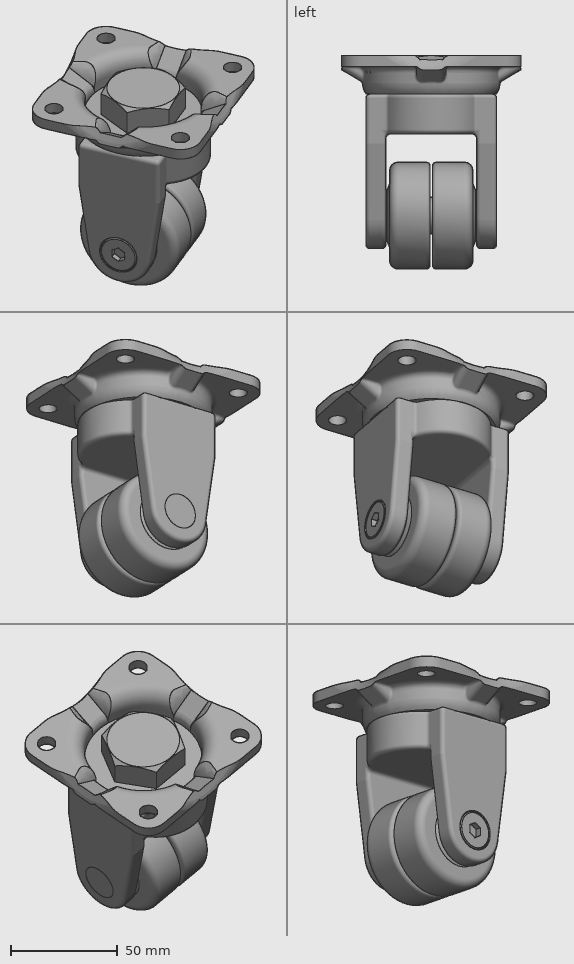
import cadquery as cq
import math


total_height = 99.9
plate_side = 84.0
plate_thickness = 5.3
plate_corner_radius = 10.0
mounting_hole_diameter = 8.5
mounting_hole_spacing = 63.9
flange_bottom = total_height - plate_thickness

cup_radius = 32.2
cup_bottom = 81.8
cup_cylinder_bottom = 86.8
cup_bottom_round = 8.0
cup_flange_fillet = 3.0
well_radius = 27.5
well_floor = cup_cylinder_bottom
well_rim_round = 7.9
well_seam_angle = 45.0

rib_count = 4
rib_width = 13.8
rib_edge_round = 2.8
rib_root_fillet = 1.4
rib_tip_z = 93.2
rib_slope = 0.6
rib_inner_radius = 28.0
notch_floor_width = 10.7
notch_reference_radius = 39.1
notch_reference_z = 97.6
notch_inner_radius = 26.0
notch_inner_width = 25.6
notch_outer_radius = 40.9
notch_outer_width = 14.8
notch_flank_bulge = 0.1
notch_lip_round = 4.5

scallop_radius = 49.9
scallop_inset = 38.3
scallop_edge_round = 6.0

hex_across_flats = 34.5
hex_top_circle_radius = 17.0
hex_chamfer_angle = 30.0

fork_top = cup_bottom
crown_bottom = 63.0
crown_half_length = 32.1
crown_end_radius = 24.0
arm_outer_y = 30.6
arm_inner_y = 21.2
arm_half_width = 20.6
arm_taper_z = 58.4
arm_end_radius = 15.5
fork_edge_round = 2.0
fork_inner_fillet = 2.0

wheel_radius = 25.0
wheel_inner_y = 0.5
wheel_outer_y = 19.5
wheel_outer_round = 4.0
wheel_inner_round = 1.9
hub_base_radius = 15.0
hub_end_radius = 12.2
hub_cone_end_y = 20.6
axle_z = wheel_radius

axle_radius = 8.6
axle_head_radius = 9.1
axle_head_length = 4.0
axle_chamfer = 0.6
axle_hole_chamfer = 0.4
socket_across_flats = 6.5
socket_depth = 3.0

selection_margin = 0.1
touch_tolerance = 0.001


def revolve_z(outline):
    """Revolve a closed (radius, z) outline about the vertical centre line."""
    return outline.revolve(360, (0, 0, 0), (0, 1, 0))


def around_sides(body):
    """Return copies of a body made at the -Y side, one for each side of the plate."""
    return [body.rotate((0, 0, 0), (0, 0, 1), 360 / rib_count * i) for i in range(rib_count)]


def make_rounded_square(bottom):
    """Square block with the outline of the plate, from a given height up to the top."""
    return (
        cq.Workplane("XY")
        .workplane(offset=bottom)
        .rect(plate_side, plate_side)
        .extrude(total_height - bottom)
        .edges("|Z")
        .fillet(plate_corner_radius)
    )


def make_cup():
    """Solid round boss through the flange with a rounded lower edge."""
    drop = cup_cylinder_bottom - cup_bottom
    arc_center = cup_radius - cup_bottom_round
    bottom_radius = arc_center + math.sqrt(cup_bottom_round**2 - drop**2)
    half_angle = math.asin(drop / cup_bottom_round) / 2
    arc_middle = (
        arc_center + cup_bottom_round * math.cos(half_angle),
        cup_cylinder_bottom - cup_bottom_round * math.sin(half_angle),
    )
    return revolve_z(
        cq.Workplane("XZ")
        .moveTo(0, cup_bottom)
        .lineTo(bottom_radius, cup_bottom)
        .threePointArc(arc_middle, (cup_radius, cup_cylinder_bottom))
        .lineTo(cup_radius, total_height)
        .lineTo(0, total_height)
        .close()
    )


def make_rib():
    """Wedge under the flange at the -Y side, rounded along its two lower edges."""
    tip = plate_side / 2
    inner_z = rib_tip_z - rib_slope * (tip - rib_inner_radius)
    rib = (
        cq.Workplane("YZ")
        .polyline([
            (-tip, flange_bottom + plate_thickness / 2),
            (-tip, rib_tip_z),
            (-rib_inner_radius, inner_z),
            (-rib_inner_radius, flange_bottom + plate_thickness / 2),
        ])
        .close()
        .extrude(rib_width / 2, both=True)
    )
    return rib.faces("<Z").edges("not |X").fillet(rib_edge_round)


def touches(edge, body):
    """Whether an edge runs along a body, judged at three places on the edge."""
    spots = [cq.Vertex.makeVertex(*edge.positionAt(t).toTuple()) for t in (0.25, 0.5, 0.75)]
    return all(body.val().distance(spot) < touch_tolerance for spot in spots)


def make_plate_blank():
    """Flange and cup with the ribs blended into them, before anything is cut away."""
    blank = make_rounded_square(flange_bottom).union(make_cup())
    reach = cup_radius + selection_margin
    cup_root = cq.selectors.BoxSelector(
        (-reach, -reach, flange_bottom - selection_margin),
        (reach, reach, flange_bottom + selection_margin),
        boundingbox=True,
    )
    blank = blank.edges(cup_root).fillet(cup_flange_fillet)
    ribs = around_sides(make_rib())
    ribbed = blank
    for rib in ribs:
        ribbed = ribbed.union(rib)
    seams = [
        edge
        for edge in ribbed.edges().vals()
        if touches(edge, blank) and any(touches(edge, rib) for rib in ribs)
    ]
    return ribbed.newObject(seams).fillet(rib_root_fillet)


def make_well():
    """Round cavity in the cup with a rounded rim."""
    rim_radius = well_radius + well_rim_round
    rim_bottom = total_height - well_rim_round
    diagonal = well_rim_round * math.sqrt(0.5)
    return revolve_z(
        cq.Workplane("XZ")
        .moveTo(0, well_floor)
        .lineTo(well_radius, well_floor)
        .lineTo(well_radius, rim_bottom)
        .threePointArc((rim_radius - diagonal, rim_bottom + diagonal), (rim_radius, total_height))
        .lineTo(0, total_height)
        .close()
    ).rotate((0, 0, 0), (0, 0, 1), well_seam_angle)


def notch_floor_z(radius):
    """Height of the sloped notch floor at a distance from the centre line."""
    return notch_reference_z + rib_slope * (radius - notch_reference_radius)


def make_slot():
    """Straight-sided middle of the notch, as wide as the notch floor."""
    inner_y = -notch_inner_radius
    outer_y = -plate_side / 2
    return (
        cq.Workplane("YZ")
        .moveTo(inner_y, notch_floor_z(notch_inner_radius))
        .lineTo(outer_y, notch_floor_z(plate_side / 2))
        .lineTo(inner_y, notch_floor_z(plate_side / 2))
        .close()
        .extrude(notch_floor_width / 2, both=True)
    )


def notch_section(radius, top_width):
    """Cross-section of the notch at one distance from the centre line."""
    floor_z = notch_floor_z(radius)
    depth = total_height - floor_z
    flare = (top_width - notch_floor_width) / 2
    half_floor = notch_floor_width / 2
    side_x = half_floor + flare / 2 - notch_flank_bulge * depth
    side_z = floor_z + depth / 2 + notch_flank_bulge * flare
    return (
        cq.Workplane("XZ", origin=(0, -radius, 0))
        .moveTo(-half_floor, floor_z)
        .lineTo(half_floor, floor_z)
        .threePointArc((side_x, side_z), (half_floor + flare, total_height))
        .lineTo(-half_floor - flare, total_height)
        .threePointArc((-side_x, side_z), (-half_floor, floor_z))
        .wire()
        .val()
    )


def make_notch():
    """Sloped channel from the well to the -Y side, with rounded flanks."""
    inner = notch_section(notch_inner_radius, notch_inner_width)
    outer = notch_section(notch_outer_radius, notch_outer_width)
    return cq.Workplane(cq.Solid.makeLoft([inner, outer], True))


def make_scallop():
    """Upright cone beside the -Y side that cuts a sloped bay into the plate edge."""
    depth = total_height - cup_cylinder_bottom
    taper = (plate_side / 2 - scallop_inset) / (total_height - rib_tip_z)
    return cq.Workplane(
        cq.Solid.makeCone(
            scallop_radius - taper * depth,
            scallop_radius,
            depth,
            pnt=cq.Vector(0, -scallop_inset - scallop_radius, cup_cylinder_bottom),
        )
    )


def make_scalloped_envelope():
    """Rounded square block with a scallop in each side, each blended into the side faces."""
    envelope = make_rounded_square(cup_bottom)
    for scallop in around_sides(make_scallop()):
        envelope = envelope.cut(scallop)
    return envelope.edges("%HYPERBOLA").fillet(scallop_edge_round)


def make_hex_head():
    """Hexagon with corners on the Y axis, its top corners cut back by a cone."""
    height = total_height - well_floor
    hexagon = (
        cq.Workplane("XY")
        .workplane(offset=well_floor)
        .polygon(6, hex_across_flats, circumscribed=True)
        .extrude(height)
    )
    base_radius = hex_top_circle_radius + height / math.tan(math.radians(hex_chamfer_angle))
    cone = cq.Solid.makeCone(base_radius, hex_top_circle_radius, height, pnt=cq.Vector(0, 0, well_floor))
    return hexagon.intersect(cq.Workplane(cone))


def make_plate():
    plate = make_plate_blank().cut(make_well())
    for slot in around_sides(make_slot()):
        plate = plate.cut(slot)
    lip_z = notch_floor_z(well_radius)
    lip_zone = cq.selectors.BoxSelector(
        (-well_radius, -well_radius, lip_z - 2 * selection_margin),
        (well_radius, well_radius, lip_z + 2 * selection_margin),
    )
    plate = plate.edges("%ELLIPSE").edges(lip_zone).fillet(notch_lip_round)
    for notch in around_sides(make_notch()):
        plate = plate.cut(notch)
    plate = plate.intersect(make_scalloped_envelope())
    mounting_holes = (
        cq.Workplane("XY")
        .workplane(offset=flange_bottom)
        .rect(mounting_hole_spacing, mounting_hole_spacing, forConstruction=True)
        .vertices()
        .circle(mounting_hole_diameter / 2)
        .extrude(plate_thickness)
    )
    return plate.cut(mounting_holes).union(make_hex_head())


def make_crown():
    """Block with two round ends that joins the arms and reaches to the middle of each arm."""
    center_x = crown_half_length - crown_end_radius
    corner_y = math.sqrt(crown_end_radius**2 - (arm_half_width - center_x) ** 2)
    half_width = (arm_inner_y + arm_outer_y) / 2
    block = (
        cq.Workplane("XY")
        .workplane(offset=crown_bottom)
        .moveTo(arm_half_width, -half_width)
        .lineTo(arm_half_width, -corner_y)
        .threePointArc((crown_half_length, 0), (arm_half_width, corner_y))
        .lineTo(arm_half_width, half_width)
        .lineTo(-arm_half_width, half_width)
        .lineTo(-arm_half_width, corner_y)
        .threePointArc((-crown_half_length, 0), (-arm_half_width, -corner_y))
        .lineTo(-arm_half_width, -half_width)
        .close()
        .extrude(fork_top - crown_bottom)
    )
    inside = cq.selectors.BoxSelector(
        (-plate_side, -arm_inner_y, 0), (plate_side, arm_inner_y, total_height)
    )
    block = block.edges("|Z").edges(inside).fillet(fork_inner_fillet)
    return block.edges("%CIRCLE").edges(inside).fillet(fork_edge_round)


def make_arms():
    """Both arms, whose tapered sides run tangent into the round lower end."""
    taper_height = arm_taper_z - axle_z
    corner_distance = math.hypot(arm_half_width, taper_height)
    tangent_angle = math.atan2(taper_height, arm_half_width) - math.acos(arm_end_radius / corner_distance)
    tangent_x = arm_end_radius * math.cos(tangent_angle)
    tangent_z = axle_z + arm_end_radius * math.sin(tangent_angle)
    arms = (
        cq.Workplane("XZ")
        .moveTo(-arm_half_width, fork_top)
        .lineTo(-arm_half_width, arm_taper_z)
        .lineTo(-tangent_x, tangent_z)
        .threePointArc((0, axle_z - arm_end_radius), (tangent_x, tangent_z))
        .lineTo(arm_half_width, arm_taper_z)
        .lineTo(arm_half_width, fork_top)
        .close()
        .extrude(arm_outer_y, both=True)
    )
    gap = cq.Workplane("XY").box(plate_side, 2 * arm_inner_y, 2 * total_height)
    return arms.cut(gap).faces("|Y or >Z").edges().fillet(fork_edge_round)


def make_fork():
    """Crown and arms as one solid, with a stepped hole that fits the axle."""
    body = make_crown().union(make_arms())
    corner_zone = cq.selectors.BoxSelector(
        (-plate_side, -arm_inner_y - selection_margin, crown_bottom - selection_margin),
        (plate_side, arm_inner_y + selection_margin, crown_bottom + selection_margin),
    )
    inner_corners = body.edges("|X").edges(corner_zone)
    body = inner_corners.fillet(fork_inner_fillet).cut(make_axle_blank())
    head_hole = cq.selectors.RadiusNthSelector(0)
    return body.faces("<Y").edges("%CIRCLE").edges(head_hole).chamfer(axle_hole_chamfer)


def make_axle_cylinder(radius, length):
    """Cylinder on the wheel axis that starts at the -Y face of the fork."""
    return cq.Workplane("XZ", origin=(0, length - arm_outer_y, axle_z)).circle(radius).extrude(length)


def make_axle_blank():
    """Shank through both arms with a wider head flush in the -Y arm."""
    shank = make_axle_cylinder(axle_radius, 2 * arm_outer_y)
    return shank.union(make_axle_cylinder(axle_head_radius, axle_head_length))


def make_axle():
    socket = (
        cq.Workplane("XZ", origin=(0, socket_depth - arm_outer_y, axle_z))
        .polygon(6, socket_across_flats, circumscribed=True)
        .extrude(socket_depth)
    )
    return make_axle_blank().faces("<Y").edges().chamfer(axle_chamfer).cut(socket)


def make_wheel():
    """Wheel on the -Y side, revolved about the axle."""
    return (
        cq.Workplane("XY", origin=(0, 0, axle_z))
        .moveTo(axle_radius, -wheel_inner_y)
        .lineTo(wheel_radius - wheel_inner_round, -wheel_inner_y)
        .radiusArc((wheel_radius, -wheel_inner_y - wheel_inner_round), wheel_inner_round)
        .lineTo(wheel_radius, wheel_outer_round - wheel_outer_y)
        .radiusArc((wheel_radius - wheel_outer_round, -wheel_outer_y), wheel_outer_round)
        .lineTo(hub_base_radius, -wheel_outer_y)
        .lineTo(hub_end_radius, -hub_cone_end_y)
        .lineTo(hub_end_radius, -arm_inner_y)
        .lineTo(axle_radius, -arm_inner_y)
        .close()
        .revolve(360, (0, 0, 0), (0, 1, 0))
    )


plate = make_plate()
fork = make_fork()
axle = make_axle()

wheels = []
for turn in (0, 180):
    wheels.append(make_wheel().rotate((0, 0, 0), (0, 0, 1), turn))

bodies = [plate, fork, axle, *wheels]
result = cq.Compound.makeCompound([body.val() for body in bodies])